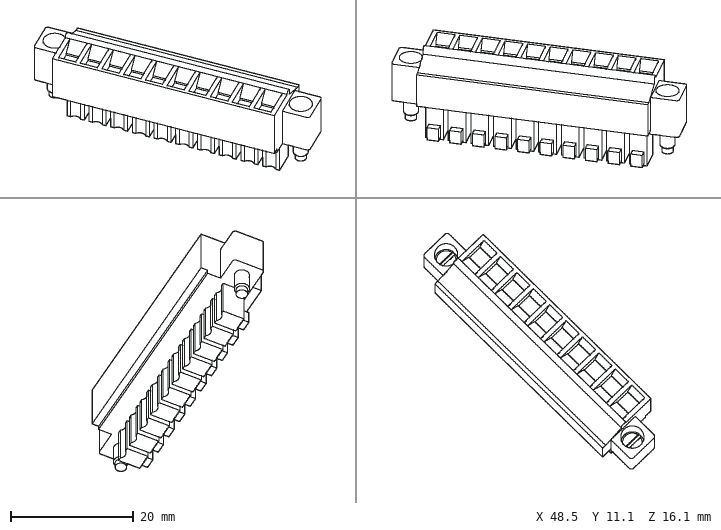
import cadquery as cq


overall_length = 48.5
block_length = 39.0
back_y = 4.7
front_y = -6.4
top_z = 8.85
back_wall_z = 6.7
back_ledge_y = 4.02
slope_top_z = 8.15
bead_radius = 0.55
bead_y = -0.15
step_height = 0.75
front_step_y = -5.2

flange_width = 5.62
flange_height = 7.0
flange_corner_radius = 0.5

contact_count = 10
row_span = 34.35
contact_width = 3.0

pocket_back_y = bead_y - bead_radius
pocket_front_y = -5.75
pocket_floor_back_y = -2.4
pocket_floor_front_y = -4.85
funnel_depth = 1.8
pocket_depth = 2.15

leg_length = 6.7
leg_half_depth = 1.95
leg_groove_width = 1.75
leg_groove_depth = 0.45
key_width = 1.95
key_depth = 1.15
key_top_z = -4.05
key_bottom_z = -6.4

screw_x = 21.65
head_diameter = 3.8
head_height = 1.95
head_chamfer = 0.3
head_seat_z = 1.45
slot_width = 0.6
slot_depth = 0.75
shank_diameter = 2.45
tip_diameter = 1.9
tip_top_z = -3.55
screw_bottom_z = -4.5

contact_pitch = row_span / (contact_count - 1)
contact_positions = [i * contact_pitch - row_span / 2 for i in range(contact_count)]
screw_positions = [-screw_x, screw_x]


def extrude_along_x(profile, center_x, length):
    """Extrude a YZ profile by length, centred on center_x."""
    return profile.extrude(length / 2, both=True).translate((center_x, 0, 0))


def make_block():
    bead_back_y = bead_y + bead_radius
    bead_front_y = bead_y - bead_radius
    back_step_y = flange_width / 2
    profile = (
        cq.Workplane("YZ")
        .moveTo(front_step_y, 0)
        .lineTo(back_step_y, 0)
        .lineTo(back_step_y, step_height)
        .lineTo(back_y, step_height)
        .lineTo(back_y, back_wall_z)
        .lineTo(back_ledge_y, back_wall_z)
        .lineTo(bead_back_y, slope_top_z)
        .lineTo(bead_back_y, top_z)
        .threePointArc((bead_y, top_z + bead_radius), (bead_front_y, top_z))
        .lineTo(front_y, top_z)
        .lineTo(front_y, step_height)
        .lineTo(front_step_y, step_height)
        .close()
    )
    return extrude_along_x(profile, 0, block_length)


def make_flange_bar():
    """One bar through the block whose two ends form the flanges."""
    return (
        cq.Workplane("XY")
        .rect(overall_length, flange_width)
        .extrude(flange_height)
        .edges("|Z")
        .fillet(flange_corner_radius)
    )


def make_pocket(center_x):
    """Wire pocket: a funnel between sloping front and back walls, ending in a shallow well."""
    funnel_z = top_z - funnel_depth
    floor_z = top_z - pocket_depth
    profile = cq.Workplane("YZ").polyline([
        (pocket_back_y, top_z),
        (pocket_floor_back_y, funnel_z),
        (pocket_floor_back_y, floor_z),
        (pocket_floor_front_y, floor_z),
        (pocket_floor_front_y, funnel_z),
        (pocket_front_y, top_z),
    ]).close()
    return extrude_along_x(profile, center_x, contact_width)


def make_leg(center_x):
    """Leg with a rounded groove down its front and a key on its back."""
    half_width = contact_width / 2
    half_groove = leg_groove_width / 2
    leg = (
        cq.Workplane("XY")
        .moveTo(-half_width, -leg_half_depth)
        .lineTo(-half_groove, -leg_half_depth)
        .threePointArc((0, leg_groove_depth - leg_half_depth), (half_groove, -leg_half_depth))
        .lineTo(half_width, -leg_half_depth)
        .lineTo(half_width, leg_half_depth)
        .lineTo(-half_width, leg_half_depth)
        .close()
        .extrude(-leg_length)
    )
    key = (
        cq.Workplane("XY", origin=(0, leg_half_depth + key_depth / 2, key_bottom_z))
        .rect(key_width, key_depth)
        .extrude(key_top_z - key_bottom_z)
    )
    return leg.union(key).translate((center_x, 0, 0))


def make_screw_hole(center_x):
    """Stepped hole: shank bore through the flange, head bore open at the top."""
    shank_bore = cq.Workplane("XY").circle(shank_diameter / 2).extrude(flange_height)
    head_bore = (
        cq.Workplane("XY", origin=(0, 0, head_seat_z))
        .circle(head_diameter / 2)
        .extrude(flange_height - head_seat_z)
    )
    return shank_bore.union(head_bore).translate((center_x, 0, 0))


def make_housing():
    housing = make_block().union(make_flange_bar())
    for x in contact_positions:
        housing = housing.cut(make_pocket(x)).union(make_leg(x))
    for x in screw_positions:
        housing = housing.cut(make_screw_hole(x))
    return housing


def make_screw(center_x):
    head_radius = head_diameter / 2
    shank_radius = shank_diameter / 2
    tip_radius = tip_diameter / 2
    head_top_z = head_seat_z + head_height
    shank_end_z = tip_top_z + shank_radius - tip_radius
    screw = (
        cq.Workplane("XZ")
        .polyline([
            (0, screw_bottom_z),
            (tip_radius, screw_bottom_z),
            (tip_radius, tip_top_z),
            (shank_radius, shank_end_z),
            (shank_radius, head_seat_z),
            (head_radius, head_seat_z),
            (head_radius, head_top_z - head_chamfer),
            (head_radius - head_chamfer, head_top_z),
            (0, head_top_z),
        ])
        .close()
        .revolve(360, (0, 0, 0), (0, 1, 0))
    )
    slot = (
        cq.Workplane("XY", origin=(0, 0, head_top_z - slot_depth))
        .rect(slot_width, head_diameter)
        .extrude(slot_depth)
    )
    return screw.cut(slot).translate((center_x, 0, 0))


housing = make_housing()
screws = [make_screw(x) for x in screw_positions]

result = cq.Compound.makeCompound([housing.val(), *[screw.val() for screw in screws]])